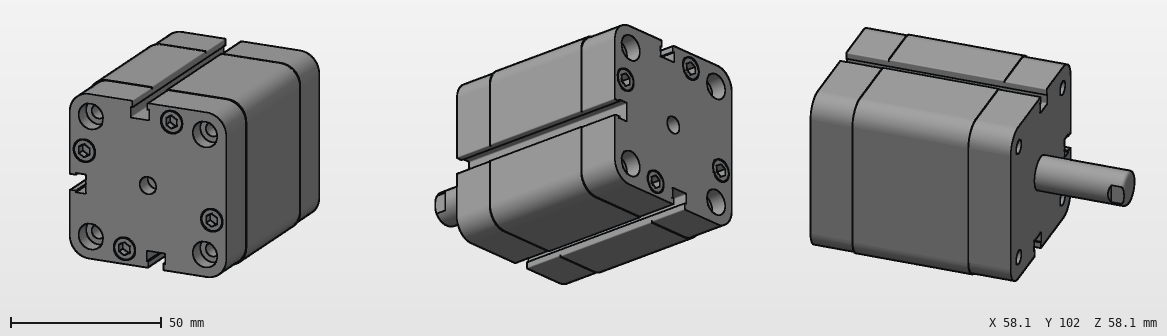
import cadquery as cq
import math

total_length = 102.0
body_length = 70.7
cap_length = 14.9
barrel_width = 58.1
cap_width = 57.6
corner_radius = 7.1

rod_diameter = 12.0
rod_tip_fillet = 1.2
flat_width = 10.2
flat_length = 4.5

slot_offset = 3.0
slot_mouth_width = 5.5
slot_inner_width = 6.7
slot_depth = 6.2
slot_lip = 2.5
slot_mouth_radius = 0.4
slot_floor_radius = 0.4
slot_angles = (0, 90, 180)

mount_spacing = 42.0
mount_diameter = 4.9
mount_bore_diameter = 9.0
mount_bore_depth = 5.7

screw_near = 8.7
screw_far = 23.5
screw_head_diameter = 7.5
screw_bore_diameter = 8.0
screw_gap_depth = 0.5
hex_across_flats = 4.0
hex_depth = 3.1

centre_diameter = 6.0
centre_depth = 6.1


def plane_at(y):
    """Sketch plane with local axes X and Z; its normal points along -Y."""
    return cq.Workplane("XZ", origin=(0, y, 0))


def rounded_block(width, y_start, length):
    block = plane_at(y_start).rect(width, width).extrude(-length)
    return block.edges("|Y").fillet(corner_radius)


def slot_cutter(side, y_start, length):
    """Slot in the +Z side of a block whose half width is `side`."""
    mouth = slot_mouth_width / 2
    inner = slot_inner_width / 2
    flare = mouth + slot_mouth_radius
    floor = barrel_width / 2 - slot_depth
    ledge = barrel_width / 2 - slot_lip
    flare_end = side - slot_mouth_radius
    arc_inset = slot_mouth_radius * (1 - math.sqrt(0.5))
    profile = (
        plane_at(y_start)
        .moveTo(-flare, side)
        .threePointArc((-mouth - arc_inset, side - arc_inset), (-mouth, flare_end))
        .lineTo(-mouth, ledge)
        .lineTo(-inner, ledge)
        .lineTo(-inner, floor)
        .lineTo(inner, floor)
        .lineTo(inner, ledge)
        .lineTo(mouth, ledge)
        .lineTo(mouth, flare_end)
        .threePointArc((mouth + arc_inset, side - arc_inset), (flare, side))
        .close()
    )
    cutter = profile.extrude(-length).edges("|Y and <Z").fillet(slot_floor_radius)
    return cutter.translate((-slot_offset, 0, 0))


def slotted_section(width, y_start, length):
    section = rounded_block(width, y_start, length)
    cutter = slot_cutter(width / 2, y_start, length)
    for angle in slot_angles:
        section = section.cut(cutter.rotate((0, 0, 0), (0, -1, 0), angle))
    return section


def piston_rod():
    rod_length = total_length - body_length
    rod = plane_at(body_length).circle(rod_diameter / 2).extrude(-rod_length)
    rod = rod.faces(">Y").edges().fillet(rod_tip_fillet)
    rod_radius = rod_diameter / 2
    flat = flat_width / 2
    flat_end = total_length - flat_length
    run_out_end = flat_end - (rod_radius - flat)
    flat_cutter = (
        cq.Workplane("XY", origin=(0, 0, -rod_radius))
        .moveTo(flat, total_length)
        .lineTo(flat, flat_end)
        .lineTo(rod_radius, run_out_end)
        .lineTo(rod_radius, total_length)
        .close()
        .extrude(rod_diameter)
    )
    return rod.cut(flat_cutter).cut(flat_cutter.mirror("YZ"))


def mounting_holes():
    corners = plane_at(0).rect(mount_spacing, mount_spacing, forConstruction=True).vertices()
    holes = corners.circle(mount_diameter / 2).extrude(-body_length)
    return holes.union(corners.circle(mount_bore_diameter / 2).extrude(-mount_bore_depth))


def screw_recesses():
    """Annular gap and hexagon socket of every cover screw."""
    positions = [
        (screw_near, screw_far),
        (-screw_far, screw_near),
        (-screw_near, -screw_far),
        (screw_far, -screw_near),
    ]
    screws = plane_at(0).pushPoints(positions)
    rings = screws.circle(screw_bore_diameter / 2).circle(screw_head_diameter / 2)
    recesses = rings.extrude(-screw_gap_depth)
    hex_across_corners = 2 * hex_across_flats / math.sqrt(3)
    socket = plane_at(0).polygon(6, hex_across_corners).extrude(-hex_depth)
    socket = socket.rotate((0, 0, 0), (0, 1, 0), 30)
    for x, z in positions:
        recesses = recesses.union(socket.translate((x, 0, z)))
    return recesses


barrel_length = body_length - 2 * cap_length
rear_cap = slotted_section(cap_width, 0, cap_length)
barrel = slotted_section(barrel_width, cap_length, barrel_length)
front_cap = slotted_section(cap_width, cap_length + barrel_length, cap_length)
centre_hole = plane_at(0).circle(centre_diameter / 2).extrude(-centre_depth)

result = rear_cap.union(barrel).union(front_cap).union(piston_rod())
result = result.cut(mounting_holes()).cut(screw_recesses()).cut(centre_hole)